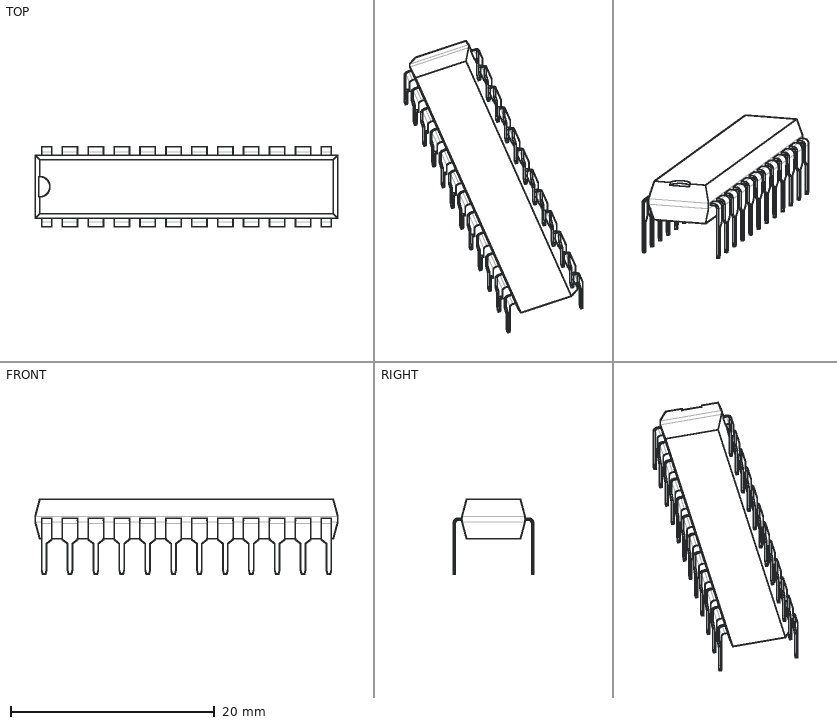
import cadquery as cq
import math

body_length = 29.7
body_width = 6.2
body_height = 3.9
band_height = 0.55
draft_inset = 0.45

notch_radius = 1.0
notch_depth = 0.27

pins_per_row = 12
pitch = 2.54
row_outer_width = 7.87
lead_thickness = 0.2
bend_outer_radius = 0.5
shoulder_width = 1.52
leg_width = 0.5
shoulder_taper_height = 0.4
leg_length = 3.0
tip_width = 0.3
tip_height = 0.4
lead_embed = 0.5

overall_height = 7.36
body_top = overall_height - leg_length
body_bottom = body_top - body_height
band_bottom = (body_top + body_bottom - band_height) / 2
band_top = band_bottom + band_height
lead_top = (band_bottom + band_top + lead_thickness) / 2


def tapered_half(band_edge_z, face_z):
    """Half of the body, narrowing from the band edge to the outer face."""
    return (
        cq.Workplane("XY", origin=(0, 0, band_edge_z))
        .rect(body_length, body_width)
        .workplane(offset=face_z - band_edge_z)
        .rect(body_length - 2 * draft_inset, body_width - 2 * draft_inset)
        .loft(ruled=True)
    )


def make_body():
    band = cq.Workplane("XY", origin=(0, 0, band_bottom)).box(
        body_length, body_width, band_height, centered=(True, True, False)
    )
    body = band.union(tapered_half(band_top, body_top)).union(tapered_half(band_bottom, body_bottom))
    notch = (
        cq.Workplane("XY", origin=(draft_inset - body_length / 2, 0, body_top))
        .circle(notch_radius)
        .extrude(-notch_depth)
    )
    return body.cut(notch)


def bent_strip():
    """Side profile of a front row lead, extruded along the whole body length."""
    outer_y = -row_outer_width / 2
    inner_y = outer_y + lead_thickness
    root_y = -body_width / 2 + lead_embed
    lead_bottom = lead_top - lead_thickness
    bend_y = outer_y + bend_outer_radius
    bend_z = lead_top - bend_outer_radius
    bend_inner_radius = bend_outer_radius - lead_thickness
    diagonal = math.sqrt(0.5)
    outer_mid = (bend_y - bend_outer_radius * diagonal, bend_z + bend_outer_radius * diagonal)
    inner_mid = (bend_y - bend_inner_radius * diagonal, bend_z + bend_inner_radius * diagonal)
    return (
        cq.Workplane("YZ")
        .moveTo(root_y, lead_top)
        .lineTo(bend_y, lead_top)
        .threePointArc(outer_mid, (outer_y, bend_z))
        .lineTo(outer_y, -leg_length)
        .lineTo(inner_y, -leg_length)
        .lineTo(inner_y, bend_z)
        .threePointArc(inner_mid, (bend_y, lead_bottom))
        .lineTo(root_y, lead_bottom)
        .close()
        .extrude(body_length / 2, both=True)
    )


def lead_face(x, left_half_width, right_half_width):
    """Front outline of one lead, extruded through the front row only.

    The two half widths are those of the shoulder; the leg below is always the same.
    """
    half_leg = leg_width / 2
    half_tip = tip_width / 2
    tip_start = tip_height - leg_length
    points = [(-left_half_width, lead_top), (-left_half_width, shoulder_taper_height)]
    if left_half_width > half_leg:
        points.append((-half_leg, 0))
    points += [
        (-half_leg, tip_start),
        (-half_tip, -leg_length),
        (half_tip, -leg_length),
        (half_leg, tip_start),
    ]
    if right_half_width > half_leg:
        points.append((half_leg, 0))
    points += [(right_half_width, shoulder_taper_height), (right_half_width, lead_top)]
    return (
        cq.Workplane("XZ", origin=(x, 0, 0))
        .polyline(points)
        .close()
        .extrude(row_outer_width)
    )


def make_front_row():
    """Leads at pitch; the two end leads have no shoulder on their outer side."""
    strip = bent_strip()
    first_x = -pitch * (pins_per_row - 1) / 2
    leads = []
    for index in range(pins_per_row):
        left_half_width = leg_width / 2 if index == 0 else shoulder_width / 2
        right_half_width = leg_width / 2 if index == pins_per_row - 1 else shoulder_width / 2
        leads.append(strip.intersect(lead_face(first_x + index * pitch, left_half_width, right_half_width)))
    return leads


result = make_body()
for lead in make_front_row():
    result = result.union(lead).union(lead.mirror("XZ"))